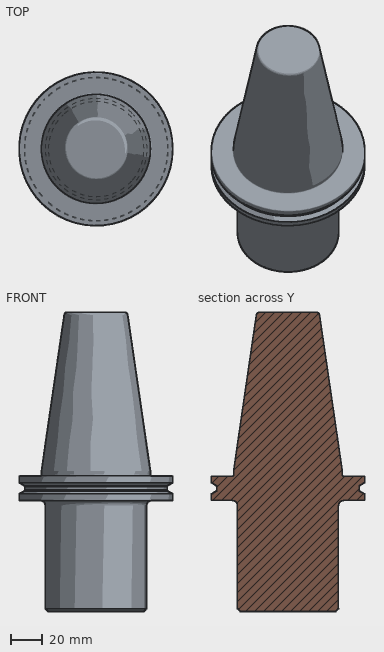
import cadquery as cq
import math


gauge_radius = 69.85 / 2
taper_length = 101.6
taper_half_angle = math.atan(7 / 24 / 2)
tip_radius = gauge_radius - taper_length * math.tan(taper_half_angle)
tip_fillet = 2.2

flange_radius = 98.42 / 2
flange_top = -3.175
flange_bottom = -19.05
flange_top_fillet = 0.8
flange_bottom_fillet = 0.8
shank_root_fillet = 0.8

groove_radius = 91.29 / 2
groove_center = (flange_top + flange_bottom) / 2
groove_floor_fillet = 0.8
groove_mouth_width = 7.15
groove_wall_angle = math.radians(30)
groove_depth = flange_radius - groove_radius
groove_floor_width = groove_mouth_width - 2 * groove_depth * math.tan(groove_wall_angle)
groove_floor_bottom = groove_center - groove_floor_width / 2
groove_floor_top = groove_center + groove_floor_width / 2

nose_radius = 65.0 / 2
nose_bottom = -90.0
nose_chamfer = 2.0
nose_root_fillet = 3.0


def circle_at(radius, height):
    """Selector for the circular edge of the given radius and height."""
    slack = 0.01
    reach = radius + slack
    return cq.selectors.BoxSelector(
        (-reach, -reach, height - slack), (reach, reach, height + slack), boundingbox=True
    )


def make_blank():
    """Taper, grooved flange and nose with sharp corners."""
    outline = [
        (0, nose_bottom),
        (nose_radius, nose_bottom),
        (nose_radius, flange_bottom),
        (flange_radius, flange_bottom),
        (flange_radius, groove_center - groove_mouth_width / 2),
        (groove_radius, groove_floor_bottom),
        (groove_radius, groove_floor_top),
        (flange_radius, groove_center + groove_mouth_width / 2),
        (flange_radius, flange_top),
        (gauge_radius, flange_top),
        (gauge_radius, 0),
        (tip_radius, taper_length),
        (0, taper_length),
    ]
    return cq.Workplane("XZ").polyline(outline).close().revolve(360, (0, 0, 0), (0, 1, 0))


def break_edges(body):
    """Chamfer the nose end and round the tip, the flange rims, groove floor and roots."""
    body = body.edges(circle_at(nose_radius, flange_bottom)).fillet(nose_root_fillet)
    body = body.edges(circle_at(gauge_radius, flange_top)).fillet(shank_root_fillet)
    for floor_end in (groove_floor_bottom, groove_floor_top):
        body = body.edges(circle_at(groove_radius, floor_end)).fillet(groove_floor_fillet)
    body = body.edges(circle_at(tip_radius, taper_length)).fillet(tip_fillet)
    body = body.edges(circle_at(nose_radius, nose_bottom)).chamfer(nose_chamfer)
    body = body.edges(circle_at(flange_radius, flange_bottom)).fillet(flange_bottom_fillet)
    return body.edges(circle_at(flange_radius, flange_top)).fillet(flange_top_fillet)


result = break_edges(make_blank())